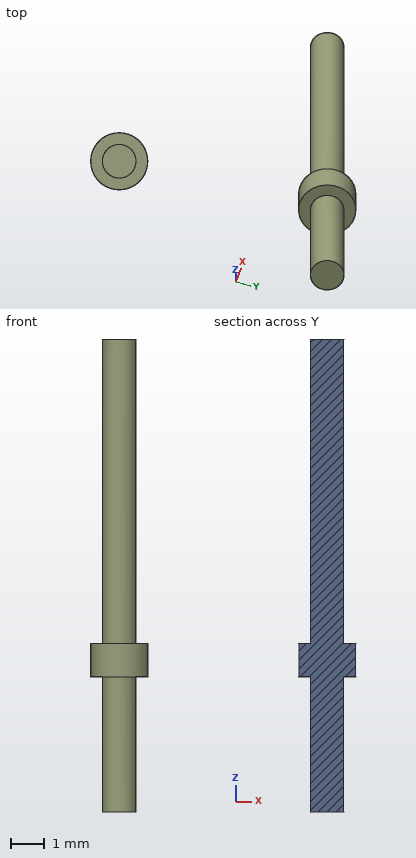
import cadquery as cq

pin_length = 14.0
pin_diameter = 1.0
collar_diameter = 1.7
collar_thickness = 1.0
collar_bottom = 4.0

pin = cq.Workplane("XY").circle(pin_diameter / 2).extrude(pin_length)

collar = (
    cq.Workplane("XY")
    .workplane(offset=collar_bottom)
    .circle(collar_diameter / 2)
    .extrude(collar_thickness)
)

result = pin.union(collar)